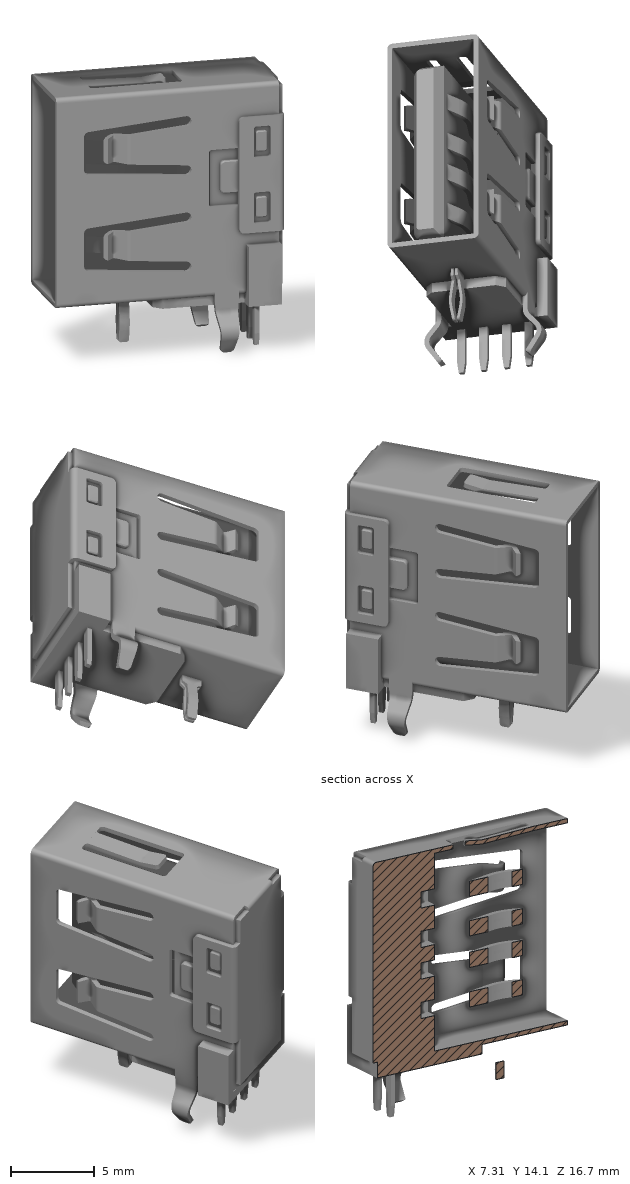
import cadquery as cq
import math


SHEET = 0.3
SHELL_WIDTH = 5.7
SHELL_HEIGHT = 13.1
SHELL_LENGTH = 13.8
HALF_WIDTH = SHELL_WIDTH / 2
INNER_HALF = HALF_WIDTH - SHEET
MID_Z = SHELL_HEIGHT / 2
TOTAL_LENGTH = SHELL_LENGTH + SHEET

COVER_HALF = INNER_HALF
COVER_BOTTOM = 0.4
FOLD_WIDTH = 2.94
WING_GAP = 0.05
WING_INNER = HALF_WIDTH + WING_GAP
WING_OUTER = WING_INNER + SHEET
WING_FRONT = 11.25
WING_BOTTOM = 3.9
WING_TOP = 11.1
WING_CORNER = 0.3
WING_BEND = 0.38
WING_WINDOW_LENGTH = 1.05
WING_WINDOW_HEIGHT = 1.93
WINDOW_Y = 12.66
WINDOW_ZS = (5.44, 9.54)
WINDOW_CORNER = 0.15
NUB_LENGTH = 0.69
NUB_HEIGHT = 1.3
NUB_TOP = WING_INNER + 0.2
EDGE_BREAK = 0.07

SIDE_WINDOW_FRONT = 9.46
SIDE_WINDOW_Z = 7.39
SIDE_WINDOW_HEIGHT = 3.53
SIDE_WINDOW_CORNER = 0.15
BOSS_FRONT = 10.19
BOSS_HEIGHT = 2.04
BOSS_CORNER = 0.25

SPRING_OFFSET = 3.0
SLOT_REAR_Y = 8.05
SLOT_END_RADIUS = 0.31
SLOT_FRONT = 1.72
SLOT_REAR_HALF = 1.84
SLOT_FRONT_HALF = 1.3
SLOT_CORNER = 0.3
SPRING_REAR_HALF = SLOT_REAR_HALF - 2 * SLOT_END_RADIUS
SPRING_TIP_HALF = 0.76
SPRING_TIP = 3.1
SPRING_TIP_EDGE = 2.94
SPRING_BEND_Y = 4.55
SPRING_APEX_Y = 3.7
SPRING_APEX_X = 2.02
SPRING_TIP_X = 2.72
SPRING_BEND = 0.25

LATCH_WINDOW_WIDTH = 2.53
LATCH_WINDOW_FRONT = 2.56
LATCH_WINDOW_REAR = 8.28
LATCH_WIDTH = 1.2
LATCH_BEND_Y = 6.19
LATCH_TIP_Y = 7.44
LATCH_BEND_DROP = 0.11
LATCH_TIP_RISE = 0.065
LATCH_CORNER = 0.2

BODY_FRONT = 9.61
BASE_BOTTOM = -0.6
BASE_FRONT = 6.19
BASE_HALF = 2.5
BASE_CHAMFER = 0.5
FOOT_HALF = 3.5
FOOT_FRONT = 11.75
FOOT_TOP = 3.13

TONGUE_LEFT = -1.78
TONGUE_RIGHT = 0.09
TONGUE_BOTTOM = 1.0
TONGUE_TOP = 12.1
TONGUE_TIP = 1.1
TONGUE_SHOULDER = 1.9
TONGUE_CHAMFER = 0.41
TONGUE_CORNER = 0.6
CONTACT_WIDTH = 1.0
CONTACT_OFFSETS = (-3.5, -1.0, 1.0, 3.5)
CONTACT_BEND_Y = 8.4
CONTACT_THICKNESS = 0.3
CONTACT_POCKET_RIGHT = 1.09
CONTACT_POCKET_DEPTH = 1.0
CONTACT_APEX_X = 0.78
CONTACT_APEX_Y = 4.55
CONTACT_TIP_Y = 2.3
CONTACT_BEND = 3.0

PIN_XS = (-2.11, -0.72, 0.72, 2.11)
PIN_WIDTH = 0.52
PIN_TIP_WIDTH = 0.3
PIN_Y = 12.57
PIN_BOTTOM = -3.37
PIN_TAPER_TOP = -2.62

CLIP_Y = 10.57
CLIP_WIDTH = 1.48
CLIP_NECK_WIDTH = 1.38
CLIP_TIP_WIDTH = 0.76
CLIP_BOTTOM = -3.51
CLIP_NECK_Z = -0.95
CLIP_KNEE_Z = -1.05
CLIP_ELBOW_X = 3.68
CLIP_TAPER_TOP = -0.38
CLIP_ELBOW_Z = -2.1
CLIP_TIP_X = 2.73
CLIP_TIP_Z = -3.43
CLIP_BEND = 0.6
CLIP_TIP_CORNER = 0.28

PEG_Y = 4.9
PEG_HEAD_WIDTH = 1.25
PEG_STEM_WIDTH = 0.64
PEG_HEAD_BOTTOM = -0.45
PEG_KNEE_Z = -0.35
PEG_NECK_BOTTOM = -0.65
PEG_BOTTOM = -3.18
PEG_THICKNESS = 0.17
PEG_ROOT_X = 0.13
PEG_BULGE_X = 0.38
PEG_BULGE_Z = -1.95
PEG_BEND = 2.4
PEG_TIP_CORNER = 0.15

OVERLAP = 0.1


def block(x0, x1, y0, y1, z0, z1):
    """Box between two corners."""
    return cq.Workplane("XY").box(x1 - x0, y1 - y0, z1 - z0, centered=False).translate((x0, y0, z0))


def both_sides(solid):
    """The solid together with its mirror image across X = 0."""
    return solid.union(solid.mirror("YZ"))


def bent_strip(plane, path, thickness, bend_radius, start, end):
    """Strip following a centre line with rounded bends, extruded from start to end along the plane normal."""

    def toward(p, q):
        length = math.dist(p, q)
        return ((q[0] - p[0]) / length, (q[1] - p[1]) / length)

    def shifted(p, direction, offset):
        return (p[0] - direction[1] * offset, p[1] + direction[0] * offset)

    def side(offset):
        """Edge of the strip: its first point, then (start, middle, end) of each bend, then the last point."""
        bends = []
        for before, corner, after in zip(path, path[1:], path[2:]):
            d_in = toward(before, corner)
            d_out = toward(corner, after)
            cross = d_in[0] * d_out[1] - d_in[1] * d_out[0]
            dot = d_in[0] * d_out[0] + d_in[1] * d_out[1]
            turn = math.atan2(cross, dot)
            setback = bend_radius * math.tan(abs(turn) / 2)
            tangent_in = (corner[0] - d_in[0] * setback, corner[1] - d_in[1] * setback)
            tangent_out = (corner[0] + d_out[0] * setback, corner[1] + d_out[1] * setback)
            centre = shifted(tangent_in, d_in, math.copysign(bend_radius, turn))
            to_corner = toward(centre, corner)
            radius = bend_radius - math.copysign(1, turn) * offset
            middle = (centre[0] + to_corner[0] * radius, centre[1] + to_corner[1] * radius)
            bends.append((shifted(tangent_in, d_in, offset), middle, shifted(tangent_out, d_out, offset)))
        first = shifted(path[0], toward(path[0], path[1]), offset)
        last = shifted(path[-1], toward(path[-2], path[-1]), offset)
        return first, bends, last

    left_first, left_bends, left_last = side(thickness / 2)
    right_first, right_bends, right_last = side(-thickness / 2)
    outline = cq.Workplane(plane).workplane(offset=start).moveTo(*left_first)
    for bend_in, middle, bend_out in left_bends:
        outline = outline.lineTo(*bend_in).threePointArc(middle, bend_out)
    outline = outline.lineTo(*left_last).lineTo(*right_last)
    for bend_in, middle, bend_out in reversed(right_bends):
        outline = outline.lineTo(*bend_out).threePointArc(middle, bend_in)
    return outline.lineTo(*right_first).close().extrude(end - start)


def make_body():
    """Plastic block in the rear of the shell, with its base and the two feet beside the shell."""
    core = block(-INNER_HALF, INNER_HALF, BODY_FRONT, SHELL_LENGTH, SHEET, SHELL_HEIGHT - SHEET)
    base = block(-BASE_HALF, BASE_HALF, BASE_FRONT, SHELL_LENGTH, BASE_BOTTOM, OVERLAP)
    base = base.edges("|Z and <Y").chamfer(BASE_CHAMFER)
    foot_floor = block(-FOOT_HALF, FOOT_HALF, FOOT_FRONT, SHELL_LENGTH, BASE_BOTTOM, 0)
    foot = block(HALF_WIDTH, FOOT_HALF, FOOT_FRONT, SHELL_LENGTH, BASE_BOTTOM, FOOT_TOP)
    return core.union(base).union(foot_floor).union(both_sides(foot))


def make_tongue():
    """Contact tongue: rounded on the left, tapered all round toward the tip."""

    def section(y, inset):
        left = TONGUE_LEFT + inset
        right = TONGUE_RIGHT - inset
        bottom = TONGUE_BOTTOM + inset
        top = TONGUE_TOP - inset
        radius = TONGUE_CORNER - inset
        return (
            cq.Workplane("XZ", origin=(0, y, 0))
            .moveTo(right, bottom)
            .lineTo(right, top)
            .lineTo(left + radius, top)
            .radiusArc((left, top - radius), -radius)
            .lineTo(left, bottom + radius)
            .radiusArc((left + radius, bottom), -radius)
            .close()
        )

    shank = section(BODY_FRONT + OVERLAP, 0).extrude(BODY_FRONT + OVERLAP - TONGUE_SHOULDER)
    wires = [
        section(TONGUE_SHOULDER, 0).val(),
        section(TONGUE_TIP, TONGUE_CHAMFER).val(),
    ]
    return shank.union(cq.Workplane(cq.Solid.makeLoft(wires, True)))


def contact_pocket(z):
    """Recess in the front of the body beside the root of one contact."""
    return block(
        TONGUE_RIGHT, CONTACT_POCKET_RIGHT,
        BODY_FRONT, BODY_FRONT + CONTACT_POCKET_DEPTH,
        z - CONTACT_WIDTH / 2, z + CONTACT_WIDTH / 2,
    )


def contact(z):
    """Spring contact bowed away from the right face of the tongue, with both ends sunk into it."""
    flush_x = TONGUE_RIGHT - CONTACT_THICKNESS / 2
    path = [
        (flush_x, BODY_FRONT + OVERLAP),
        (flush_x, CONTACT_BEND_Y),
        (CONTACT_APEX_X, CONTACT_APEX_Y),
        (TONGUE_RIGHT - CONTACT_THICKNESS, CONTACT_TIP_Y),
    ]
    half = CONTACT_WIDTH / 2
    return bent_strip("XY", path, CONTACT_THICKNESS, CONTACT_BEND, z - half, z + half)


def make_shell():
    """Rectangular tube with rounded outer long edges."""
    outer = block(-HALF_WIDTH, HALF_WIDTH, 0, SHELL_LENGTH, 0, SHELL_HEIGHT).edges("|Y").fillet(SHEET)
    return outer.cut(block(-INNER_HALF, INNER_HALF, 0, SHELL_LENGTH, SHEET, SHELL_HEIGHT - SHEET))


def side_window():
    """Opening in the right-hand shell wall that runs back under the cover wing."""
    half = SIDE_WINDOW_HEIGHT / 2
    opening = block(
        INNER_HALF, HALF_WIDTH, SIDE_WINDOW_FRONT, WING_FRONT + SHEET,
        SIDE_WINDOW_Z - half, SIDE_WINDOW_Z + half,
    )
    return opening.edges("|X and <Y").fillet(SIDE_WINDOW_CORNER)


def side_boss():
    """Boss of the body that fills the middle of the side window."""
    half = BOSS_HEIGHT / 2
    boss = block(
        INNER_HALF - OVERLAP, HALF_WIDTH, BOSS_FRONT, WING_FRONT + SHEET + OVERLAP,
        SIDE_WINDOW_Z - half, SIDE_WINDOW_Z + half,
    )
    return boss.edges("|X and <Y").fillet(BOSS_CORNER).faces(">X").edges("not >Y").chamfer(EDGE_BREAK)


def spring_slot(z):
    """Tapered opening for one side spring in the right-hand wall, including its two round rear ends."""
    arm_z = SLOT_REAR_HALF - SLOT_END_RADIUS
    opening = (
        cq.Workplane("YZ", origin=(INNER_HALF, 0, z))
        .polyline([
            (SLOT_REAR_Y, -SLOT_REAR_HALF),
            (SLOT_FRONT, -SLOT_FRONT_HALF),
            (SLOT_FRONT, SLOT_FRONT_HALF),
            (SLOT_REAR_Y, SLOT_REAR_HALF),
        ])
        .close()
        .extrude(SHEET)
        .edges("|X and <Y")
        .fillet(SLOT_CORNER)
    )
    ends = (
        cq.Workplane("YZ", origin=(INNER_HALF, 0, z))
        .pushPoints([(SLOT_REAR_Y, -arm_z), (SLOT_REAR_Y, arm_z)])
        .circle(SLOT_END_RADIUS)
        .extrude(SHEET)
    )
    return opening.union(ends)


def side_spring(z):
    """Tapered spring finger in the right-hand wall, bent inward and back out near its tip."""
    wall_x = HALF_WIDTH - SHEET / 2
    path = [
        (wall_x, SLOT_REAR_Y + SLOT_END_RADIUS + OVERLAP),
        (wall_x, SPRING_BEND_Y),
        (SPRING_APEX_X, SPRING_APEX_Y),
        (SPRING_TIP_X, SPRING_TIP),
    ]
    strip = bent_strip("XY", path, SHEET, SPRING_BEND, z - SLOT_REAR_HALF, z + SLOT_REAR_HALF)
    blank = (
        cq.Workplane("YZ", origin=(0, 0, z))
        .polyline([
            (path[0][1], -SPRING_REAR_HALF),
            (SLOT_REAR_Y, -SPRING_REAR_HALF),
            (SPRING_TIP_EDGE, -SPRING_TIP_HALF),
            (SPRING_TIP_EDGE, SPRING_TIP_HALF),
            (SLOT_REAR_Y, SPRING_REAR_HALF),
            (path[0][1], SPRING_REAR_HALF),
        ])
        .close()
        .extrude(HALF_WIDTH)
        .edges("|X and <Y")
        .fillet(SLOT_CORNER)
    )
    return strip.intersect(blank)


def latch_window():
    """Opening in the top wall around the top latch."""
    opening = block(
        -LATCH_WINDOW_WIDTH / 2, LATCH_WINDOW_WIDTH / 2, LATCH_WINDOW_FRONT, LATCH_WINDOW_REAR,
        SHELL_HEIGHT - SHEET, SHELL_HEIGHT,
    )
    return opening.edges("|Z").fillet(LATCH_CORNER)


def top_latch():
    """Latch finger with a flared root that dips to its bend and rises again to its tip."""
    wall_z = SHELL_HEIGHT - SHEET / 2
    path = [
        (LATCH_WINDOW_FRONT - OVERLAP, wall_z),
        (LATCH_BEND_Y, wall_z - LATCH_BEND_DROP),
        (LATCH_TIP_Y, wall_z + LATCH_TIP_RISE),
    ]
    strip = bent_strip("YZ", path, SHEET, SHEET, -LATCH_WINDOW_WIDTH / 2, LATCH_WINDOW_WIDTH / 2)
    clearance = block(
        LATCH_WIDTH / 2, LATCH_WINDOW_WIDTH / 2, LATCH_WINDOW_FRONT, LATCH_WINDOW_REAR,
        MID_Z, SHELL_HEIGHT + SHEET,
    )
    clearance = clearance.edges("|Z and <Y").fillet(LATCH_CORNER)
    strip = strip.cut(both_sides(clearance))
    return strip.faces(">Y").edges("not |X").fillet(LATCH_CORNER)


def make_cover():
    """Rear cover with the fold to the top wall and a wing along each side."""
    upper = block(
        -COVER_HALF, COVER_HALF, SHELL_LENGTH, TOTAL_LENGTH, COVER_BOTTOM, SHELL_HEIGHT - SHEET
    )
    fold = block(
        -FOLD_WIDTH / 2, FOLD_WIDTH / 2, SHELL_LENGTH, TOTAL_LENGTH, WING_TOP, SHELL_HEIGHT
    ).edges("|X and >Y and >Z").fillet(SHEET - EDGE_BREAK)
    wrap = block(-WING_OUTER, WING_OUTER, WING_FRONT, TOTAL_LENGTH, WING_BOTTOM, WING_TOP)
    wrap = wrap.edges("|Z and >Y").fillet(WING_BEND)
    wrap = wrap.edges("|X and <Y").fillet(WING_CORNER)
    wrap = wrap.cut(block(-WING_INNER, WING_INNER, WING_FRONT, SHELL_LENGTH, WING_BOTTOM, WING_TOP))
    for z in WINDOW_ZS:
        window = (
            cq.Workplane("XY")
            .box(2 * WING_OUTER, WING_WINDOW_LENGTH, WING_WINDOW_HEIGHT)
            .edges("|X")
            .fillet(WINDOW_CORNER)
            .translate((0, WINDOW_Y, z))
        )
        wrap = wrap.cut(window)
    return upper.union(fold).union(wrap)


def wing_nub(z):
    """Nub of the body that stands in one wing window."""
    half_length = NUB_LENGTH / 2
    half_height = NUB_HEIGHT / 2
    nub = block(
        INNER_HALF, NUB_TOP, WINDOW_Y - half_length, WINDOW_Y + half_length, z - half_height, z + half_height
    )
    return nub.edges("|X").fillet(WINDOW_CORNER).faces(">X").chamfer(EDGE_BREAK)


def solder_pin(x):
    """Flat solder pin with a tapered tip."""
    half = PIN_WIDTH / 2
    tip_half = PIN_TIP_WIDTH / 2
    return (
        cq.Workplane("XZ", origin=(x, PIN_Y + SHEET / 2, 0))
        .polyline([
            (-half, BASE_BOTTOM + OVERLAP),
            (-half, PIN_TAPER_TOP),
            (-tip_half, PIN_BOTTOM),
            (tip_half, PIN_BOTTOM),
            (half, PIN_TAPER_TOP),
            (half, BASE_BOTTOM + OVERLAP),
        ])
        .close()
        .extrude(SHEET)
    )


def board_clip():
    """Leg of the right-hand wall, bent out and back in, narrowing to a round tip."""
    wall_x = HALF_WIDTH - SHEET / 2
    path = [
        (wall_x, SHEET + OVERLAP),
        (wall_x, CLIP_KNEE_Z),
        (CLIP_ELBOW_X, CLIP_ELBOW_Z),
        (CLIP_TIP_X, CLIP_TIP_Z),
    ]
    rear = CLIP_Y + CLIP_WIDTH / 2
    strip = bent_strip("XZ", path, SHEET, CLIP_BEND, -rear, CLIP_WIDTH - rear)
    blank = (
        cq.Workplane("YZ", origin=(0, CLIP_Y, 0))
        .polyline([
            (-CLIP_WIDTH / 2, SHEET + OVERLAP),
            (-CLIP_WIDTH / 2, CLIP_TAPER_TOP),
            (-CLIP_NECK_WIDTH / 2, CLIP_NECK_Z),
            (-CLIP_TIP_WIDTH / 2, CLIP_BOTTOM),
            (CLIP_TIP_WIDTH / 2, CLIP_BOTTOM),
            (CLIP_NECK_WIDTH / 2, CLIP_NECK_Z),
            (CLIP_WIDTH / 2, CLIP_TAPER_TOP),
            (CLIP_WIDTH / 2, SHEET + OVERLAP),
        ])
        .close()
        .extrude(CLIP_ELBOW_X + SHEET)
        .edges("|X and <Z")
        .fillet(CLIP_TIP_CORNER)
    )
    return strip.intersect(blank)


def peg_half():
    """Right-hand half of the bowed split peg under the shell."""
    path = [
        (PEG_ROOT_X, SHEET - OVERLAP),
        (PEG_ROOT_X, PEG_KNEE_Z),
        (PEG_BULGE_X, PEG_BULGE_Z),
        (PEG_ROOT_X, PEG_BOTTOM),
    ]
    rear = PEG_Y + PEG_HEAD_WIDTH / 2
    strip = bent_strip("XZ", path, PEG_THICKNESS, PEG_BEND, -rear, PEG_HEAD_WIDTH - rear)
    blank = (
        cq.Workplane("YZ", origin=(0, PEG_Y, 0))
        .polyline([
            (-PEG_HEAD_WIDTH / 2, SHEET),
            (-PEG_HEAD_WIDTH / 2, PEG_HEAD_BOTTOM),
            (-PEG_STEM_WIDTH / 2, PEG_NECK_BOTTOM),
            (-PEG_STEM_WIDTH / 2, PEG_BOTTOM),
            (PEG_STEM_WIDTH / 2, PEG_BOTTOM),
            (PEG_STEM_WIDTH / 2, PEG_NECK_BOTTOM),
            (PEG_HEAD_WIDTH / 2, PEG_HEAD_BOTTOM),
            (PEG_HEAD_WIDTH / 2, SHEET),
        ])
        .close()
        .extrude(HALF_WIDTH)
        .edges("|X and <Z")
        .fillet(PEG_TIP_CORNER)
    )
    return strip.intersect(blank)


spring_zs = (MID_Z - SPRING_OFFSET, MID_Z + SPRING_OFFSET)
contact_zs = [MID_Z + offset for offset in CONTACT_OFFSETS]

shell = make_shell().cut(latch_window()).cut(both_sides(side_window()))
for z in spring_zs:
    shell = shell.cut(both_sides(spring_slot(z)))
    shell = shell.union(both_sides(side_spring(z)))
shell = shell.union(top_latch())
shell = shell.union(both_sides(board_clip()))
shell = shell.union(both_sides(peg_half()))

body = make_body().union(make_tongue())
for z in contact_zs:
    body = body.cut(contact_pocket(z)).union(contact(z))
for x in PIN_XS:
    body = body.union(solder_pin(x))
body = body.union(both_sides(side_boss()))

result = shell.union(body).union(make_cover())
for z in WINDOW_ZS:
    result = result.union(both_sides(wing_nub(z)))